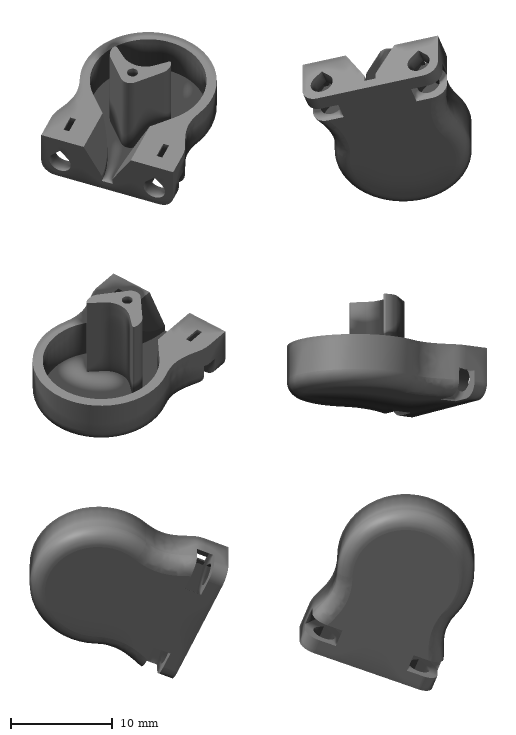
import cadquery as cq
import math


total_length = 17.62
body_height = 5.0
foot_width = 13.94
ring_radius = 6.73
bottom_fillet = 1.5
ring_center_y = total_length - ring_radius
foot_half_width = foot_width / 2
ring_end_angle = -20.5
waist_half_width = 5.96
waist_y = 6.45
shoulder_radius = 3.3
shoulder_angle = 23.0
shoulder_y = 2.57

wall = 1.0
floor_z = 1.0
pocket_radius = ring_radius - wall
throat_half_width = 0.57
throat_radius = 7.6
throat_center_x = throat_half_width + throat_radius

mouth_half_width = 2.49
mouth_slope = 60.0
mouth_root_z = body_height - (mouth_half_width - throat_half_width) * math.tan(math.radians(mouth_slope))

post_top_z = 10.0
nose_radius = 1.0
nose_center_y = 6.22
side_radius = 1.5
side_center_x = 1.63
saddle_radius = 2.4
saddle_y = 7.8
saddle_angle = 42.5
tip_fillet = 0.18
pilot_diameter = 1.08
pilot_y = 6.73

screw_x = 4.98
screw_z = 1.94
screw_radius = 1.13
screw_depth = 4.5
nut_across_flats = 4.08
nut_front_y = 1.5
nut_thickness = 1.8
nut_face_angle = 60.0
nut_slide_length = 6.0
roof_z = 4.72
window_x = 4.92
window_width = 0.6

tangent_gap = math.hypot(throat_center_x, ring_center_y)
center_line_angle = -math.atan2(ring_center_y, throat_center_x)
flank_angle = center_line_angle + math.acos((pocket_radius + throat_radius) / tangent_gap)


def on_circle(center, radius, angle):
    """Point of a circle at a polar angle in radians."""
    return center[0] + radius * math.cos(angle), center[1] + radius * math.sin(angle)


def mirrored(point):
    return -point[0], point[1]


def make_body():
    ring_center = (0, ring_center_y)
    ring_angle = math.radians(ring_end_angle)
    ring_end = on_circle(ring_center, ring_radius, ring_angle)
    ring_tangent = (math.sin(ring_angle), -math.cos(ring_angle))

    turn = math.radians(shoulder_angle)
    shoulder_center = (foot_half_width - shoulder_radius, shoulder_y)
    shoulder_start = on_circle(shoulder_center, shoulder_radius, turn)
    shoulder_mid = on_circle(shoulder_center, shoulder_radius, turn / 2)
    shoulder_end = (foot_half_width, shoulder_y)
    shoulder_tangent = (math.sin(turn), -math.cos(turn))

    waist = (waist_half_width, waist_y)
    outline = (
        cq.Workplane("XY")
        .moveTo(*mirrored(ring_end))
        .threePointArc((0, total_length), ring_end)
        .spline([waist, shoulder_start], tangents=[ring_tangent, shoulder_tangent], includeCurrent=True)
        .threePointArc(shoulder_mid, shoulder_end)
        .lineTo(foot_half_width, 0)
        .lineTo(-foot_half_width, 0)
        .lineTo(-foot_half_width, shoulder_y)
        .threePointArc(mirrored(shoulder_mid), mirrored(shoulder_start))
        .spline(
            [mirrored(waist), mirrored(ring_end)],
            tangents=[(shoulder_tangent[0], -shoulder_tangent[1]), (ring_tangent[0], -ring_tangent[1])],
            includeCurrent=True,
        )
        .close()
    )
    body = outline.extrude(body_height)
    rounded_edges = body.faces("<Z").edges(cq.selectors.SubtractSelector(
        cq.selectors.DirectionMinMaxSelector(cq.Vector(0, 0, 1), False),
        cq.selectors.DirectionMinMaxSelector(cq.Vector(0, 1, 0), False),
    ))
    return rounded_edges.fillet(bottom_fillet)


def make_pocket():
    pocket_end = on_circle((0, ring_center_y), pocket_radius, flank_angle)
    flare_center = (throat_center_x, 0)
    flare_start = on_circle(flare_center, throat_radius, flank_angle + math.pi)
    flare_mid = on_circle(flare_center, throat_radius, flank_angle / 2 + math.pi)
    throat = (throat_half_width, 0)
    return (
        cq.Workplane("XY", origin=(0, 0, floor_z))
        .moveTo(*mirrored(pocket_end))
        .threePointArc((0, ring_center_y + pocket_radius), pocket_end)
        .lineTo(*flare_start)
        .threePointArc(flare_mid, throat)
        .lineTo(*mirrored(throat))
        .threePointArc(mirrored(flare_mid), mirrored(flare_start))
        .close()
        .extrude(body_height - floor_z)
    )


def make_mouth():
    return (
        cq.Workplane("XZ")
        .moveTo(-throat_half_width, mouth_root_z)
        .lineTo(throat_half_width, mouth_root_z)
        .lineTo(mouth_half_width, body_height)
        .lineTo(-mouth_half_width, body_height)
        .close()
        .extrude(-ring_center_y)
    )


def make_post():
    nose_center = (0, nose_center_y)
    side_rise = (side_radius - nose_radius + side_center_x * math.cos(flank_angle)) / -math.sin(flank_angle)
    side_center = (side_center_x, nose_center_y + side_rise)
    nose_end = on_circle(nose_center, nose_radius, flank_angle)
    side_start = on_circle(side_center, side_radius, flank_angle)
    side_mid = on_circle(side_center, side_radius, 0)

    saddle_center = (0, saddle_y + saddle_radius)
    slope = math.radians(saddle_angle)
    saddle_end = on_circle(saddle_center, saddle_radius, slope - math.pi / 2)

    along = (math.cos(slope), math.sin(slope))
    offset = (side_center[0] - saddle_end[0], side_center[1] - saddle_end[1])
    foot_distance = offset[0] * along[0] + offset[1] * along[1]
    line_distance = offset[0] * along[1] - offset[1] * along[0]
    flank_length = foot_distance + math.sqrt(side_radius**2 - line_distance**2)
    tip = (saddle_end[0] + flank_length * along[0], saddle_end[1] + flank_length * along[1])

    post = (
        cq.Workplane("XY", origin=(0, 0, floor_z))
        .moveTo(*mirrored(nose_end))
        .threePointArc((0, nose_center_y - nose_radius), nose_end)
        .lineTo(*side_start)
        .threePointArc(side_mid, tip)
        .lineTo(*saddle_end)
        .threePointArc((0, saddle_y), mirrored(saddle_end))
        .lineTo(*mirrored(tip))
        .threePointArc(mirrored(side_mid), mirrored(side_start))
        .close()
        .extrude(post_top_z - floor_z)
    )
    post = post.edges("|Z").edges(">Y").fillet(tip_fillet)
    pilot = (
        cq.Workplane("XY", origin=(0, pilot_y, floor_z))
        .circle(pilot_diameter / 2)
        .extrude(post_top_z - floor_z)
    )
    return post.cut(pilot)


def make_screw_hole():
    """Teardrop hole on the +X side, pointed upward."""
    half = screw_radius * math.sqrt(0.5)
    return (
        cq.Workplane("XZ", origin=(screw_x, 0, screw_z))
        .moveTo(-half, half)
        .threePointArc((0, -screw_radius), (half, half))
        .lineTo(0, 2 * half)
        .close()
        .extrude(-screw_depth)
    )


def make_nut_pocket():
    """Hexagonal nut seat on the +X side with its slanted slide, its roof and its window."""
    nut_radius = nut_across_flats / math.sqrt(3)
    nut = (
        cq.Workplane("XZ", origin=(screw_x, nut_front_y, screw_z))
        .polygon(6, 2 * nut_radius)
        .extrude(-nut_thickness)
    )
    slide = (
        cq.Workplane("XY")
        .box(nut_slide_length, nut_thickness, nut_across_flats, centered=(False, False, True))
        .rotate((0, 0, 0), (0, 1, 0), nut_face_angle)
        .translate((screw_x, nut_front_y, screw_z))
    )
    roof_height = roof_z - screw_z
    roof_half_width = nut_radius - roof_height / math.tan(math.radians(nut_face_angle))
    roof = (
        cq.Workplane("XZ", origin=(screw_x, nut_front_y, screw_z))
        .moveTo(-nut_radius, 0)
        .lineTo(nut_radius, 0)
        .lineTo(roof_half_width, roof_height)
        .lineTo(-roof_half_width, roof_height)
        .close()
        .extrude(-nut_thickness)
    )
    window = (
        cq.Workplane("XY")
        .box(window_width, nut_thickness, body_height - screw_z, centered=(True, False, False))
        .translate((window_x, nut_front_y, screw_z))
    )
    return nut.union(slide).union(roof).union(window)


result = make_body().cut(make_pocket()).cut(make_mouth()).union(make_post())
for cutter in (make_screw_hole(), make_nut_pocket()):
    result = result.cut(cutter).cut(cutter.mirror("YZ"))